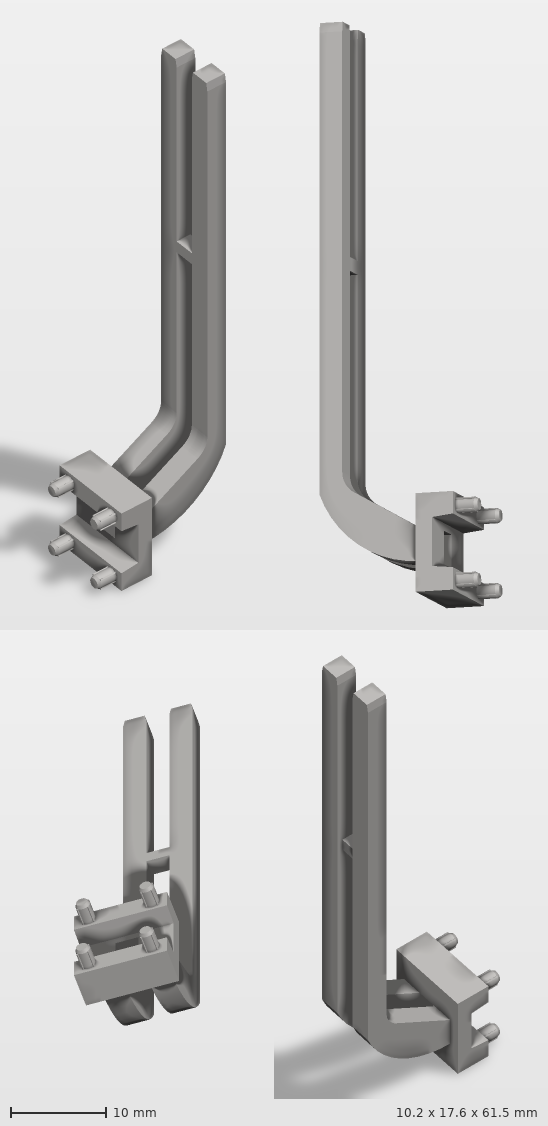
import cadquery as cq
import math

total_height = 61.45
total_depth = 17.6

block_width = 10.25
block_depth = 4.1
block_height = 10.5
channel_floor_depth = 1.85
lip_height = 2.4
channel_taper = 0.25

window_bottom = 3.5
window_top = 7.05

arm_thickness = 2.5
arm_gap = 2.5
arm_width = 2.6
bend_slope = math.radians(30)
bend_radius = 2.6
belly_radius = 11.8
tip_side_inset = 0.2
tip_length = 1.05

bar_bottom = 35.3
bar_top = 36.8
bar_depth = 1.85

pin_length = 2.4
pin_radius = 0.8
pin_spacing_x = 7.0
pin_spacing_z = 8.0
pin_lead_length = 0.35
pin_lead_inset = 0.2
rib_count = 4
rib_width = 0.2
rib_outer_radius = 0.9

arm_back = total_depth - pin_length - block_depth
arm_front = arm_back - arm_thickness
arm_offset = (arm_gap + arm_width) / 2


def make_block():
    """C-shaped block: the channel narrows slightly towards its floor."""
    floor_y = channel_floor_depth
    floor_z = lip_height + channel_taper
    outline = [
        (0, 0),
        (-block_depth, 0),
        (-block_depth, lip_height),
        (-floor_y, floor_z),
        (-floor_y, block_height - floor_z),
        (-block_depth, block_height - lip_height),
        (-block_depth, block_height),
        (0, block_height),
    ]
    block = cq.Workplane("YZ").polyline(outline).close().extrude(block_width / 2, both=True)
    window = cq.Workplane("XY").box(
        arm_gap, block_depth, window_top - window_bottom, centered=(True, False, False)
    )
    window = window.translate((0, -block_depth, window_bottom))
    return block.cut(window)


def belly_height(y):
    """Height of the rounded underside, which leaves the block horizontally."""
    return window_bottom + belly_radius - math.sqrt(belly_radius**2 - y**2)


def tapered_tip_outline():
    """Front outline of one arm, narrowing on both sides at its tip."""
    half = arm_width / 2
    tip_half = half - tip_side_inset
    shoulder = total_height - tip_length
    return [
        (-half, 0),
        (half, 0),
        (half, shoulder),
        (tip_half, total_height),
        (-tip_half, total_height),
        (-half, shoulder),
    ]


def make_arm(x):
    """Sloping foot with a rounded underside, bent into a straight upright."""
    bend_z = window_top + arm_front * math.tan(bend_slope)
    bend_reach = bend_radius * math.tan((math.pi / 2 - bend_slope) / 2)
    bend_start = (
        arm_front - bend_reach * math.cos(bend_slope),
        bend_z - bend_reach * math.sin(bend_slope),
    )
    bend_end = (arm_front, bend_z + bend_reach)
    arm = (
        cq.Workplane("YZ")
        .moveTo(0, window_bottom)
        .lineTo(0, window_top)
        .lineTo(*bend_start)
        .tangentArcPoint(bend_end, relative=False)
        .lineTo(arm_front, total_height)
        .lineTo(arm_back, total_height)
        .lineTo(arm_back, belly_height(arm_back))
        .threePointArc((arm_back / 2, belly_height(arm_back / 2)), (0, window_bottom))
        .close()
        .extrude(arm_width / 2, both=True)
    )
    envelope = cq.Workplane("XZ").polyline(tapered_tip_outline()).close().extrude(-arm_back)
    return arm.intersect(envelope).translate((x, 0, 0))


def make_bar():
    """Crossbar filling the gap between the arms, flush with their front faces."""
    bar = cq.Workplane("XY").box(
        arm_gap, bar_depth, bar_top - bar_bottom, centered=(True, False, False)
    )
    return bar.translate((0, arm_front, bar_bottom))


def make_pin(x, z):
    """Round pin with a tapered end and ribs on its diagonals, pointing towards -Y."""
    shank_length = pin_length - pin_lead_length
    pin = (
        cq.Workplane("XY")
        .lineTo(pin_radius, 0)
        .lineTo(pin_radius, shank_length)
        .lineTo(pin_radius - pin_lead_inset, pin_length)
        .lineTo(0, pin_length)
        .close()
        .revolve(360, (0, 0), (0, 1))
    )
    for index in range(rib_count):
        rib = cq.Workplane("XY").box(
            rib_outer_radius, shank_length, rib_width, centered=(False, False, True)
        )
        angle = (index + 0.5) * 360 / rib_count
        pin = pin.union(rib.rotate((0, 0, 0), (0, 1, 0), angle))
    return pin.rotate((0, 0, 0), (0, 0, 1), 180).translate((x, -block_depth, z))


result = make_block()
for side in (-1, 1):
    result = result.union(make_arm(side * arm_offset))
    for level in (-1, 1):
        pin_z = block_height / 2 + level * pin_spacing_z / 2
        result = result.union(make_pin(side * pin_spacing_x / 2, pin_z))
result = result.union(make_bar()).clean()